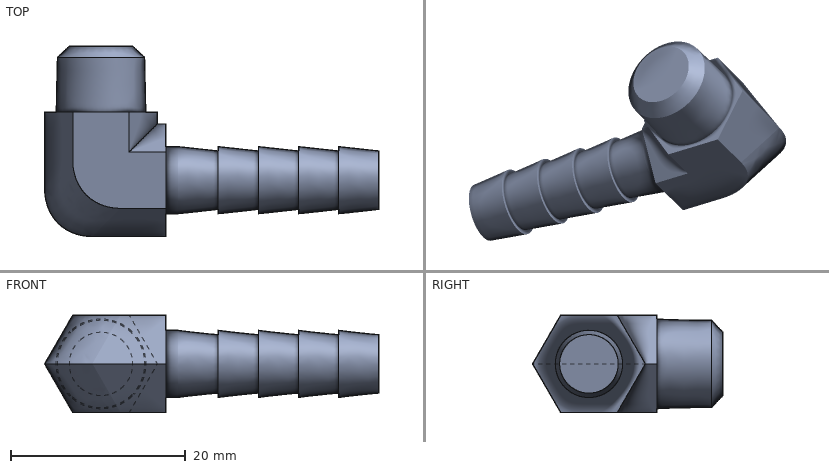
import cadquery as cq
import math


ACROSS_FLATS = 11.18
HALF_HEIGHT = ACROSS_FLATS / 2
CORNER_REACH = HALF_HEIGHT / math.cos(math.radians(30))
FLAT_REACH = CORNER_REACH / 2
ELBOW_RADIUS = 6.35

OVERALL_X = 38.25
OVERALL_Y = 21.79
BARB_END = OVERALL_X - CORNER_REACH
SPIGOT_END = OVERALL_Y - CORNER_REACH
BODY_END_X = 7.43
BODY_END_Y = 7.78

SPIGOT_BASE_DIAMETER = 10.28
SPIGOT_NOSE_DIAMETER = 10.0
SPIGOT_CHAMFER = 1.3
SPIGOT_TIP_DIAMETER = 7.25

BARB_COUNT = 5
BARB_CREST_DIAMETER = 7.7
BARB_ROOT_DIAMETER = 6.7
BARB_LAND = 1.38
BARB_PITCH = (BARB_END - BODY_END_X - BARB_LAND) / BARB_COUNT


def elbow_outline(reach):
    """Corner points of the L-shaped body section whose arms are 2 * reach wide."""
    return [
        (-reach, -reach),
        (BODY_END_X, -reach),
        (BODY_END_X, reach),
        (reach, reach),
        (reach, BODY_END_Y),
        (-reach, BODY_END_Y),
    ]


def make_body():
    """Mitred hexagonal elbow with its outer corner rounded, mirrored about the XY plane."""
    upper_half = (
        cq.Workplane("XY")
        .polyline(elbow_outline(CORNER_REACH)).close()
        .workplane(offset=HALF_HEIGHT)
        .polyline(elbow_outline(FLAT_REACH)).close()
        .loft(ruled=True, combine=True)
    )
    edge_middle = -(CORNER_REACH + FLAT_REACH) / 2
    outer_edge = cq.selectors.NearestToPointSelector((edge_middle, edge_middle, HALF_HEIGHT / 2))
    upper_half = upper_half.edges(outer_edge).fillet(ELBOW_RADIUS)
    return upper_half.union(upper_half.mirror("XY"))


def make_spigot():
    """Slightly tapered spigot with a chamfered tip, rooted inside the body."""
    chamfer_start = SPIGOT_END - SPIGOT_CHAMFER
    return (
        cq.Workplane("XY")
        .moveTo(0, 0)
        .lineTo(SPIGOT_BASE_DIAMETER / 2, 0)
        .lineTo(SPIGOT_BASE_DIAMETER / 2, BODY_END_Y)
        .lineTo(SPIGOT_NOSE_DIAMETER / 2, chamfer_start)
        .lineTo(SPIGOT_TIP_DIAMETER / 2, SPIGOT_END)
        .lineTo(0, SPIGOT_END)
        .close()
        .revolve(360, (0, 0), (0, 1))
    )


def make_barbed_stem():
    """Straight land followed by barbs that each taper from crest to root along +X."""
    crest = BARB_CREST_DIAMETER / 2
    root = BARB_ROOT_DIAMETER / 2
    profile = cq.Workplane("XY").moveTo(0, 0).lineTo(0, crest)
    for index in range(BARB_COUNT):
        start = BODY_END_X + BARB_LAND + index * BARB_PITCH
        profile = profile.lineTo(start, crest).lineTo(start + BARB_PITCH, root)
    return profile.lineTo(BARB_END, 0).close().revolve(360, (0, 0), (1, 0))


result = make_body().union(make_spigot()).union(make_barbed_stem())